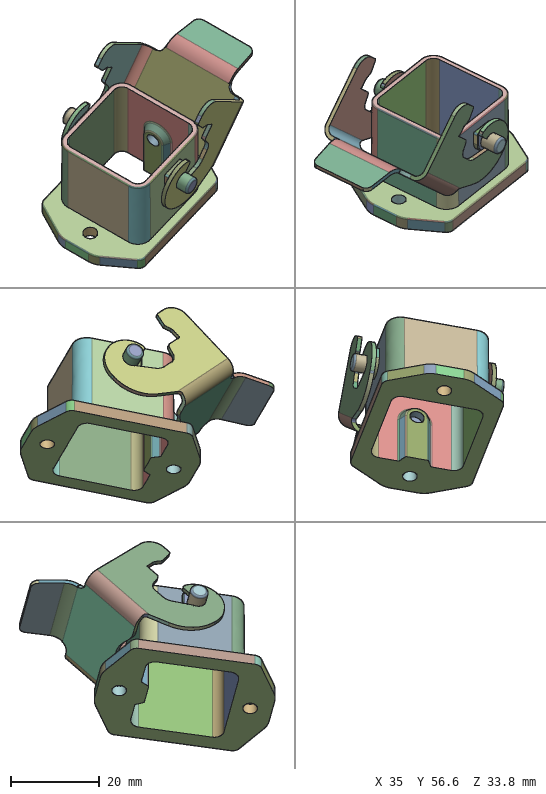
import cadquery as cq
import math


flange_width = 28.35
flange_length = 40.0
flange_thickness = 3.0
flange_end_width = 9.3
flange_end_angle = 30.0
flange_side_radius = 2.0
flange_end_radius = 5.2
screw_hole_diameter = 3.3
screw_hole_offset = 15.0
top_edge_round = 0.2

housing_side = 24.05
housing_height = 22.95
housing_draft = 0.3
housing_corner_radius = 3.55
wall = 1.35
cavity_side = housing_side - 2 * wall
cavity_corner_radius = housing_corner_radius - wall

boss_height = 1.9
boss_base_radius = 3.75
boss_draft = 30.0
boss_edge_round = 0.45
boss_axis_height = 12.45
boss_hole_diameter = 3.3

peg_radius = 2.05
peg_height = 17.5
peg_end_round = 0.5
peg_reach = 17.5
pad_radius = 3.0
pad_reach = 13.25
pad_corner_round = 0.4
pad_edge_chamfer = 0.2

sheet = 1.0
lever_width = 29.0
lever_bend_radius = 3.0
lever_swing = 45.0
lever_back = 15.5
lever_top = 19.95
lever_bottom = 3.8
lever_front = -5.3
lever_top_radius = 3.85

lever_foot_y = 12.85
lever_foot_radius = 1.0

latch_tip_z = 13.95
latch_tip_radius = 0.5
latch_nib = (-2.05, 13.25, 0.3)
latch_ramp = (-0.3, 14.1, 1.7)
notch_top = 14.1
notch_floor_z = 10.2
notch_floor_y = 2.15
notch_floor_radius = 0.85

throat_y = 5.95
throat_top = 9.05
throat_top_radius = 1.8
throat_bottom = 3.95
throat_bottom_radius = 3.4
slot_edge = (1.5, -1.25)
lip_height = 4.8
lip_radius = 0.45

hook_bottom = -7.25
small_arc_radius = 6.15
small_arc_y = 0.85
small_arc_start = 72.0
large_arc_radius = 9.95
large_arc_y = 1.4
large_arc_sweep = 65.4

arch_base_half = 8.05
arch_top_half = 2.5
arch_height = 3.15
arch_top_radius = 9.3
arch_base_radius = 5.0
arch_run_out = 10.2
arch_clearance = 0.55

tab_bend_start = 21.65
tab_bend_radius = 3.7
tab_bend_angle = 51.0
tab_straight = 7.3
tab_root_half = 9.0
tab_taper = 5.0
tab_corner_radius = 1.8
neck_radius = 2.0


def polar(center, radius, angle):
    """Point on a circle, angle in degrees."""
    turn = math.radians(angle)
    return (center[0] + radius * math.cos(turn), center[1] + radius * math.sin(turn))


def draw_rounded(path, start, corners):
    """Draw from start through (x, y, radius) corners; the last corner stays sharp."""
    path = path.moveTo(*start)
    points = [cq.Vector(*start)] + [cq.Vector(x, y) for x, y, _ in corners]
    for index, (_, _, radius) in enumerate(corners):
        corner = points[index + 1]
        if radius == 0 or index == len(corners) - 1:
            path = path.lineTo(corner.x, corner.y)
            continue
        to_before = (points[index] - corner).normalized()
        to_after = (points[index + 2] - corner).normalized()
        half_angle = to_before.getAngle(to_after) / 2
        setback = radius / math.tan(half_angle)
        bisector = (to_before + to_after).normalized()
        first = corner + to_before * setback
        middle = corner + bisector * (radius / math.sin(half_angle) - radius)
        last = corner + to_after * setback
        path = path.lineTo(first.x, first.y).threePointArc((middle.x, middle.y), (last.x, last.y))
    return path


def make_flange():
    """Base plate with angled ends and two screw holes."""
    half_width = flange_width / 2
    half_length = flange_length / 2
    end_half = flange_end_width / 2
    shoulder = half_length - (half_width - end_half) * math.tan(math.radians(flange_end_angle))
    corners = [
        (end_half, -half_length, flange_end_radius),
        (half_width, -shoulder, flange_side_radius),
        (half_width, shoulder, flange_side_radius),
        (end_half, half_length, flange_end_radius),
        (-end_half, half_length, flange_end_radius),
        (-half_width, shoulder, flange_side_radius),
        (-half_width, -shoulder, flange_side_radius),
        (-end_half, -half_length, flange_end_radius),
        (0, -half_length, 0),
    ]
    flange = draw_rounded(cq.Workplane("XY"), (0, -half_length), corners).close().extrude(flange_thickness)
    flange = flange.faces(">Z").edges().fillet(top_edge_round)
    holes = [(0, -screw_hole_offset), (0, screw_hole_offset)]
    return flange.cut(
        cq.Workplane("XY").pushPoints(holes).circle(screw_hole_diameter / 2).extrude(flange_thickness)
    )


def make_rounded_square(side, corner_radius, draft=0):
    """Rounded square block of the housing height, narrowing upwards by the draft angle."""
    outline = cq.Sketch().rect(side, side).vertices().fillet(corner_radius)
    return cq.Workplane("XY").placeSketch(outline).extrude(housing_height, taper=draft)


def boss_plane():
    """Workplane on the inner face of the back wall, centred on the boss."""
    return cq.Workplane("XZ", origin=(0, cavity_side / 2, boss_axis_height))


def make_boss():
    """Drafted boss on the back wall, round at the top and running straight down to the underside."""
    depth_below = boss_axis_height + boss_base_radius
    boss = (
        boss_plane()
        .moveTo(-boss_base_radius, 0)
        .threePointArc((0, boss_base_radius), (boss_base_radius, 0))
        .lineTo(boss_base_radius, -depth_below)
        .lineTo(-boss_base_radius, -depth_below)
        .close()
        .extrude(boss_height, taper=boss_draft)
    )
    boss = boss.faces("<Y").edges().fillet(boss_edge_round)
    return boss.intersect(make_rounded_square(housing_side, housing_corner_radius))


def add_boss(shell):
    """Join the boss to the back wall with a rounded root and sink its blind hole to the wall."""
    margin = 0.3
    wall_face = cavity_side / 2
    root = cq.selectors.BoxSelector(
        (-boss_base_radius - margin, wall_face - margin, margin),
        (boss_base_radius + margin, wall_face + margin, housing_height - margin),
    )
    hole = boss_plane().circle(boss_hole_diameter / 2).extrude(boss_height)
    return shell.union(make_boss()).edges(root).fillet(boss_edge_round).cut(hole)


def make_pivot(side):
    """Pad and peg on one side wall; side is +1 for +X and -1 for -X."""
    start = cavity_side / 2 + wall / 2
    plane = cq.Workplane("YZ", origin=(start, 0, peg_height))
    corners = [
        (pad_radius, pad_radius, pad_corner_round),
        (-pad_radius, pad_radius, pad_corner_round),
        (-pad_radius, 0, 0),
    ]
    pad = draw_rounded(plane, (pad_radius, 0), corners)
    pad = pad.threePointArc((0, -pad_radius), (pad_radius, 0)).close().extrude(pad_reach - start)
    pad = pad.faces(">X").chamfer(pad_edge_chamfer)
    peg = plane.circle(peg_radius).extrude(peg_reach - start).faces(">X").edges().fillet(peg_end_round)
    pivot = pad.union(peg)
    return pivot if side > 0 else pivot.mirror("YZ")


def make_lever_profile():
    """Side outline of the upright lever in Y and Z, filled over the whole lever width."""
    large_center = (large_arc_y, hook_bottom + large_arc_radius)
    small_center = (small_arc_y, hook_bottom + small_arc_radius)
    hook_start = polar(large_center, large_arc_radius, large_arc_sweep - 90)
    lip = polar(small_center, small_arc_radius, 180 - small_arc_start)
    corners = [
        (lever_foot_y, lever_bottom, lever_foot_radius),
        (lever_back, lever_bottom, 0),
        (lever_back, lever_top, 0),
        (lever_front, lever_top, lever_top_radius),
        (lever_front, latch_tip_z, latch_tip_radius),
        latch_nib,
        latch_ramp,
        (notch_floor_y, notch_top, 0),
        (notch_floor_y, notch_floor_z, notch_floor_radius),
        (throat_y, throat_top, throat_top_radius),
        (throat_y, throat_bottom, throat_bottom_radius),
        (*slot_edge, 0),
        (0, 0, 0),
        (0, lip_height, lip_radius),
        (*lip, 0),
    ]
    path = draw_rounded(cq.Workplane("YZ"), hook_start, corners)
    path = path.threePointArc(
        polar(small_center, small_arc_radius, 225 - small_arc_start / 2),
        polar(small_center, small_arc_radius, 270),
    )
    path = path.lineTo(large_arc_y, hook_bottom)
    path = path.threePointArc(polar(large_center, large_arc_radius, large_arc_sweep / 2 - 90), hook_start)
    return path.close().extrude(lever_width / 2, both=True)


def make_channel():
    """Upright channel of bent sheet that gives the lever its back plate and two cheeks."""
    height = lever_top - hook_bottom
    depth = lever_back - lever_front

    def channel_block(inset):
        block = cq.Workplane("XY").box(
            lever_width - 2 * inset, depth, height, centered=(True, False, False)
        )
        block = block.edges("|Z and >Y").fillet(lever_bend_radius - inset)
        return block.translate((0, lever_front - inset, hook_bottom))

    return channel_block(0).cut(channel_block(sheet))


def make_arch():
    """Cutter for the arch in the lower edge of the back plate."""
    below = lever_bottom - arch_clearance
    top = lever_bottom + arch_height
    corners = [
        (arch_run_out, lever_bottom, 0),
        (arch_base_half, lever_bottom, arch_base_radius),
        (arch_top_half, top, arch_top_radius),
        (0, top, 0),
        (-arch_top_half, top, arch_top_radius),
        (-arch_base_half, lever_bottom, arch_base_radius),
        (-arch_run_out, lever_bottom, 0),
        (-arch_run_out, below, 0),
    ]
    arch = draw_rounded(cq.Workplane("XZ"), (arch_run_out, below), corners)
    return arch.close().extrude(-sheet).translate((0, lever_back - sheet, 0))


def make_neck_fillets():
    """Concave fillets between the top edge of the back plate and the finger tab."""
    center = (tab_root_half + neck_radius, lever_top + neck_radius)
    inside = tab_root_half - neck_radius
    fillet = (
        cq.Workplane("XZ")
        .moveTo(center[0], lever_top)
        .threePointArc(polar(center, neck_radius, 225), (tab_root_half, center[1]))
        .lineTo(inside, lever_top)
        .close()
        .extrude(-sheet)
        .translate((0, lever_back - sheet, 0))
    )
    return fillet.union(fillet.mirror("YZ"))


def make_tab_strip():
    """Finger tab sheet, curling outwards from the upright back plate, before its sides are tapered."""
    center = (lever_back + tab_bend_radius, tab_bend_start)
    outer_radius = tab_bend_radius + sheet
    bend_end = 180 - tab_bend_angle
    bend_middle = 180 - tab_bend_angle / 2
    run = polar((0, 0), tab_straight, bend_end - 90)
    near = polar(center, tab_bend_radius, bend_end)
    far = polar(center, outer_radius, bend_end)
    return (
        cq.Workplane("YZ")
        .moveTo(lever_back, lever_top)
        .lineTo(lever_back, tab_bend_start)
        .threePointArc(polar(center, tab_bend_radius, bend_middle), near)
        .lineTo(near[0] + run[0], near[1] + run[1])
        .lineTo(far[0] + run[0], far[1] + run[1])
        .lineTo(*far)
        .threePointArc(polar(center, outer_radius, bend_middle), (lever_back - sheet, tab_bend_start))
        .lineTo(lever_back - sheet, lever_top)
        .close()
        .extrude(lever_width / 2, both=True)
    )


def swing(shape):
    """Swing an upright lever piece back about the pivot and lift it to the pegs."""
    return shape.rotate((0, 0, 0), (1, 0, 0), -lever_swing).translate((0, 0, peg_height))


def make_tab():
    """Swung finger tab, tapered and rounded in plan."""
    strip = swing(make_tab_strip())
    bounds = strip.val().BoundingBox()
    end_half = tab_root_half - (bounds.ymax - bounds.ymin) * math.tan(math.radians(tab_taper))
    corners = [
        (end_half, bounds.ymax, tab_corner_radius),
        (-end_half, bounds.ymax, tab_corner_radius),
        (-tab_root_half, bounds.ymin, 0),
    ]
    plan = draw_rounded(cq.Workplane("XY"), (tab_root_half, bounds.ymin), corners)
    return strip.intersect(plan.close().extrude(bounds.zmax))


def make_lever():
    """Complete lever in its swung-back position."""
    cheeks_and_back = make_channel().intersect(make_lever_profile()).cut(make_arch())
    return swing(cheeks_and_back.union(make_neck_fillets())).union(make_tab())


housing = make_rounded_square(housing_side, housing_corner_radius, housing_draft)
housing = housing.faces(">Z").edges().fillet(top_edge_round)
cavity = make_rounded_square(cavity_side, cavity_corner_radius)
body = add_boss(make_flange().union(housing).cut(cavity))
for side in (-1, 1):
    body = body.union(make_pivot(side))

result = body.union(make_lever())